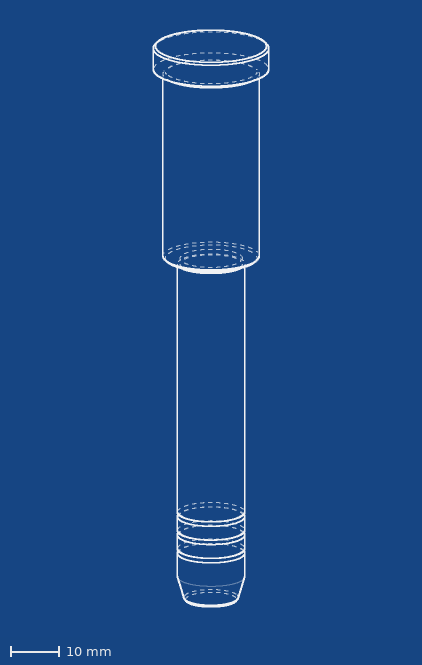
import cadquery as cq

total_length = 120.0
head_diameter = 24.0
body_diameter = 20.0
shank_diameter = 14.0

head_height = 5.0
body_end_depth = 46.0
tip_height = 5.0

head_chamfer = 0.5
body_chamfer = 0.5
tip_chamfer_height = 0.5
tip_chamfer_width = 0.4
tip_diameter = 11.4

shank_relief_height = 1.2
shank_relief_diameter = 13.0

groove_width = 1.0
groove_count = 3
groove_pitch = 4.0
first_groove_height = 10.5

head_bottom = total_length - head_height
body_bottom = total_length - body_end_depth
shank_top = body_bottom - shank_relief_height


def cylinder(diameter, bottom, top):
    """Solid cylinder on the Z axis between two heights."""
    return cq.Workplane("XY").workplane(offset=bottom).circle(diameter / 2).extrude(top - bottom)


def tapered_tip():
    """Conical lead-in with a small chamfer at its end."""
    end_radius = tip_diameter / 2
    return (
        cq.Workplane("XZ")
        .moveTo(0, 0)
        .lineTo(end_radius - tip_chamfer_width, 0)
        .lineTo(end_radius, tip_chamfer_height)
        .lineTo(shank_diameter / 2, tip_height)
        .lineTo(0, tip_height)
        .close()
        .revolve(360, (0, 0, 0), (0, 1, 0))
    )


def ring_groove(diameter, height):
    """Torus that cuts a half-round groove into a cylinder of the given diameter."""
    center = cq.Vector(0, 0, height)
    return cq.Workplane(cq.Solid.makeTorus(diameter / 2, groove_width / 2, center))


head = cylinder(head_diameter, head_bottom, total_length).faces(">Z").edges().chamfer(head_chamfer)
body = cylinder(body_diameter, body_bottom, head_bottom)
body = body.faces("<Z").edges().chamfer(body_chamfer)
shank_relief = cylinder(shank_relief_diameter, shank_top, body_bottom)
shank = cylinder(shank_diameter, tip_height, shank_top)

result = tapered_tip()
for section in (shank, shank_relief, body, head):
    result = result.union(section)

result = result.cut(ring_groove(body_diameter, head_bottom - groove_width / 2))

for index in range(groove_count):
    result = result.cut(ring_groove(shank_diameter, first_groove_height + index * groove_pitch))